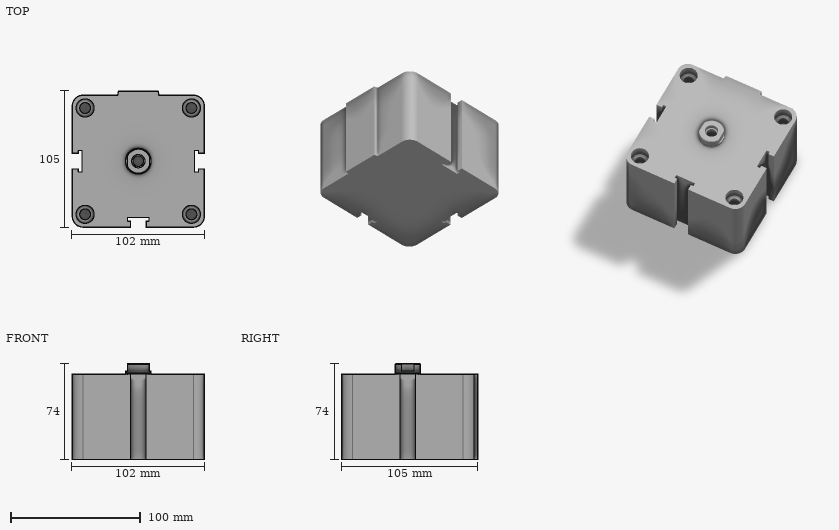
import cadquery as cq

HOUSING_SIDE = 102.0
HOUSING_HEIGHT = 66.0
CORNER_RADIUS = 8.5
OVERALL_DEPTH = 105.0

RIB_HEIGHT = OVERALL_DEPTH - HOUSING_SIDE
RIB_ROOT_WIDTH = 31.9
RIB_TIP_WIDTH = 30.8

SLOT_MOUTH_WIDTH = 12.0
SLOT_INNER_WIDTH = 16.4
SLOT_LIP = 4.7
SLOT_DEPTH = 7.5
SLOT_SIDE_ANGLES = (0, -90, 90)

HOLE_PITCH = 82.0
HOLE_DIAMETER = 8.4
COUNTERBORE_DIAMETER = 14.0
COUNTERBORE_DEPTH = 8.5
HOLE_DEPTH = 16.5

OVERALL_HEIGHT = 74.0
ROD_DIAMETER = 20.0
ROD_END_DIAMETER = 19.5
ROD_INSERTION = 16.5
ROD_SHOULDER_RISE = 0.5
ROD_TOP_CHAMFER = 0.5
FLAT_WIDTH = 17.0
FLAT_LENGTH = 5.7
ROD_BORE_DIAMETER = 8.2
ROD_RECESS_DIAMETER = 10.3
ROD_RECESS_DEPTH = 3.8
ROD_BORE_DEPTH = 15.0

ROD_BASE_Z = HOUSING_HEIGHT - ROD_INSERTION


def make_rib():
    half = HOUSING_SIDE / 2
    return (
        cq.Workplane("XY")
        .polyline([
            (-RIB_ROOT_WIDTH / 2, half),
            (-RIB_TIP_WIDTH / 2, half + RIB_HEIGHT),
            (RIB_TIP_WIDTH / 2, half + RIB_HEIGHT),
            (RIB_ROOT_WIDTH / 2, half),
        ])
        .close()
        .extrude(HOUSING_HEIGHT)
    )


def make_t_slot():
    """Return the cutter for the T-slot in the -Y face."""
    face_y = -HOUSING_SIDE / 2
    undercut = SLOT_DEPTH - SLOT_LIP
    mouth = (
        cq.Workplane("XY")
        .center(0, face_y + SLOT_DEPTH / 2)
        .rect(SLOT_MOUTH_WIDTH, SLOT_DEPTH)
        .extrude(HOUSING_HEIGHT)
    )
    inner = (
        cq.Workplane("XY")
        .center(0, face_y + SLOT_LIP + undercut / 2)
        .rect(SLOT_INNER_WIDTH, undercut)
        .extrude(HOUSING_HEIGHT)
    )
    return mouth.union(inner)


def make_housing():
    body = (
        cq.Workplane("XY")
        .rect(HOUSING_SIDE, HOUSING_SIDE)
        .extrude(HOUSING_HEIGHT)
        .edges("|Z")
        .fillet(CORNER_RADIUS)
        .union(make_rib())
    )

    slot = make_t_slot()
    for angle in SLOT_SIDE_ANGLES:
        body = body.cut(slot.rotate((0, 0, 0), (0, 0, 1), angle))

    top = cq.Workplane("XY").workplane(offset=HOUSING_HEIGHT)
    holes = top.rect(HOLE_PITCH, HOLE_PITCH, forConstruction=True).vertices()
    body = body.cut(holes.circle(HOLE_DIAMETER / 2).extrude(-HOLE_DEPTH))
    body = body.cut(holes.circle(COUNTERBORE_DIAMETER / 2).extrude(-COUNTERBORE_DEPTH))

    return body.cut(top.circle(ROD_DIAMETER / 2).extrude(-ROD_INSERTION))


def make_rod():
    radius = ROD_DIAMETER / 2
    end_radius = ROD_END_DIAMETER / 2
    step = radius - end_radius
    shoulder_z = HOUSING_HEIGHT + ROD_SHOULDER_RISE
    rod = (
        cq.Workplane("XZ")
        .polyline([
            (0, ROD_BASE_Z),
            (radius, ROD_BASE_Z),
            (radius, shoulder_z),
            (end_radius, shoulder_z + step),
            (end_radius, OVERALL_HEIGHT - ROD_TOP_CHAMFER),
            (end_radius - ROD_TOP_CHAMFER, OVERALL_HEIGHT),
            (0, OVERALL_HEIGHT),
        ])
        .close()
        .revolve(360, (0, 0, 0), (0, 1, 0))
    )

    top = cq.Workplane("XY").workplane(offset=OVERALL_HEIGHT)
    for side in (-1, 1):
        flat = (
            top.center(side * (FLAT_WIDTH + ROD_DIAMETER) / 2, 0)
            .rect(ROD_DIAMETER, ROD_DIAMETER)
            .extrude(-FLAT_LENGTH)
        )
        rod = rod.cut(flat)

    rod = rod.cut(top.circle(ROD_BORE_DIAMETER / 2).extrude(-ROD_BORE_DEPTH))
    return rod.cut(top.circle(ROD_RECESS_DIAMETER / 2).extrude(-ROD_RECESS_DEPTH))


housing = make_housing()
rod = make_rod()

result = cq.Compound.makeCompound([housing.val(), rod.val()])